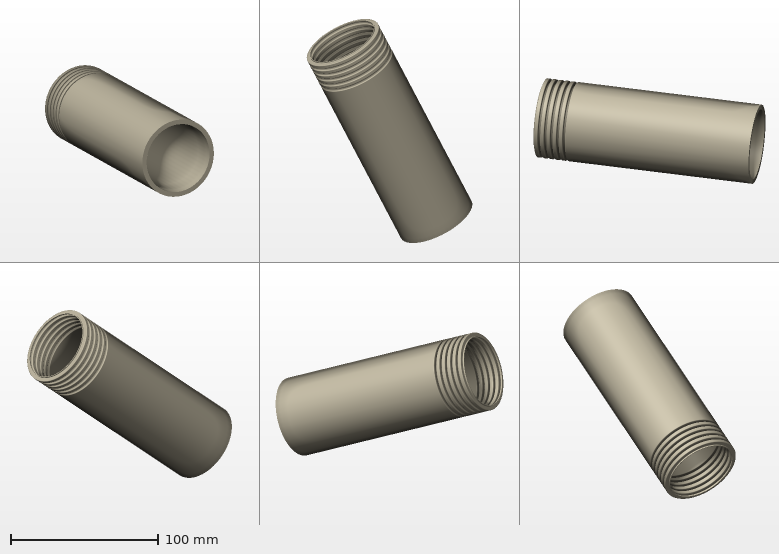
import cadquery as cq

length = 150.0
crest_diameter = 54.2
root_diameter = 48.6
wall = 0.45
ridge_count = 5
pitch = 4.3
convex_radius = 0.45
concave_radius = 0.25

crest_radius = crest_diameter / 2
root_radius = root_diameter / 2
bore_radius = root_radius - wall
ridge_width = pitch / 2 + wall
groove_width = pitch - ridge_width
lip_length = groove_width / 2
plain_start = lip_length + ridge_count * pitch


def disc(start, width, radius):
    """Solid disc of the given radius along X, beginning at `start`."""
    return cq.Workplane("YZ").workplane(offset=start).circle(radius).extrude(width)


def ridged_cylinder(inset):
    """Root cylinder with its ridges, every face but the ends set inwards by `inset`."""
    cylinder = disc(0, length, root_radius - inset)
    for index in range(ridge_count):
        ridge_start = lip_length + index * pitch + inset
        cylinder = cylinder.union(disc(ridge_start, ridge_width - 2 * inset, crest_radius - inset))
    return cylinder


def sharp_tube():
    """Corrugated stretch and thick-walled plain tube, with one bore through both."""
    plain_tube = disc(plain_start, length - plain_start, crest_radius)
    return ridged_cylinder(0).union(plain_tube).cut(ridged_cylinder(wall))


def round_bends(tube, bend_radius, fillet_radius):
    """Fillet the circular corners of radius `bend_radius`; the two open ends stay sharp."""
    tolerance = wall / 10
    first_bend = lip_length / 2
    last_bend = plain_start + pitch
    corners = [
        edge
        for edge in tube.edges("%CIRCLE").vals()
        if abs(edge.radius() - bend_radius) < tolerance and first_bend < edge.Center().x < last_bend
    ]
    return tube.newObject(corners).fillet(fillet_radius)


result = sharp_tube()

result = round_bends(result, crest_radius, convex_radius)
result = round_bends(result, bore_radius, convex_radius)

result = round_bends(result, crest_radius - wall, concave_radius)
result = round_bends(result, root_radius, concave_radius)